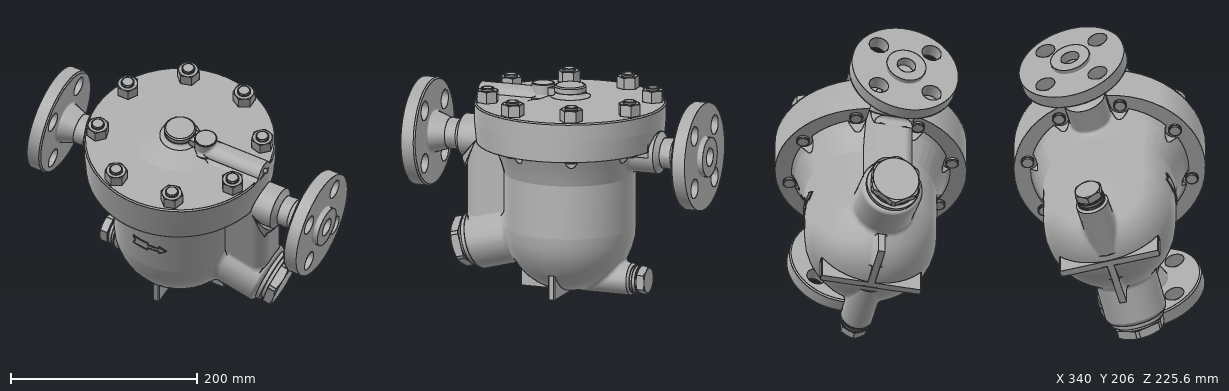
import cadquery as cq
import math


FACE_TO_FACE = 340.0
PIPE_MID_X = 8.7
BASE_Z = -160.0
OVERALL_HEIGHT = 225.6
TOP_Z = BASE_Z + OVERALL_HEIGHT

COVER_R = 206.0 / 2
COVER_TOP_Z = 47.3
COVER_BOTTOM_Z = 27.0
COVER_EDGE = 1.5
BODY_FLANGE_BOTTOM_Z = 4.4
BODY_FLANGE_BOTTOM_RX = 100.5

BODY_R = 71.0
NECK_R = 81.0
NECK_TOP_Z = -0.8
NECK_TOP_FLARE = 4.0
NECK_HOLLOW = 0.6
NECK_BOTTOM_Z = -30.0
DOME_CENTRE_Z = -88.5

STUD_COUNT = 8
STUD_CIRCLE_R = 88.75
STUD_R = 14.0 / 2
STUD_TOP_Z = 62.9
STUD_BOTTOM_Z = 1.0
STUD_CHAMFER = 1.0
NUT_ACROSS_FLATS = 21.0
NUT_TOP_Z = 60.1
NUT_TURN = -7.5
SPOTFACE_R = 10.7
SPOTFACE_BOTTOM_Z = -20.0

PIPE_FLANGE_R = 117.0 / 2
PIPE_FLANGE_THICKNESS = 16.0
PIPE_FLANGE_EDGE = 1.6
RAISED_FACE_R = 42.9 / 2
RAISED_FACE_LENGTH = 6.1
RAISED_FACE_FILLET = 1.3
HUB_R = 22.0
HUB_FILLET = 2.8
PIPE_R = 33.0 / 2
WELD_R = 34.0 / 2
WELD_START = 39.8
WELD_WIDTH = 7.6
NOZZLE_R = 46.0 / 2
NOZZLE_SHOULDER_START = 52.1
NOZZLE_SHOULDER_LENGTH = 5.0
BORE_R = 20.0 / 2
BORE_DEPTH = 11.0
NOZZLE_ROOT_FILLET = 4.0
PIPE_BOLT_COUNT = 4
PIPE_BOLT_CIRCLE_R = 41.0
PIPE_BOLT_R = 21.0 / 2

PAD_END_X = -99.0
PAD_BOTTOM_Z = -1.5

BLOCK_END_X = 114.2
BLOCK_CORNER_R = 13.8
BLOCK_BOTTOM_Z = -97.0
WEB_HEIGHT = 7.0
WEB_END_X = 120.4

PORT_TILT = 15.0
PORT_END_X = 126.6
PORT_END_Z = -118.7
PORT_R = 33.5
PORT_LENGTH = 72.0
PORT_SHOULDER_R = 58.0 / 2
PORT_SHOULDER_START = 24.5
PORT_SHOULDER_END = 18.3
PORT_TRIM_MARGIN = 7.0
PORT_ROOT_FILLET = 7.0
GASKET_END = 14.0
GASKET_R = 49.5 / 2
PLUG_HEAD_LENGTH = 10.0
PLUG_ACROSS_FLATS = 50.0
PLUG_CORNER_DIAMETER = 55.6

DRAIN_Z = -142.5
DRAIN_ROOT_FILLET = 5.0
DRAIN_INNER_X = -11.0
DRAIN_R = 17.5
DRAIN_END_X = -71.2
DRAIN_TAPER_LENGTH = 2.5
DRAIN_PLUG_R = 30.0 / 2
DRAIN_GROOVE_R = 14.0
DRAIN_COLLAR_FILL = 0.7
DRAIN_HEAD_START_X = -81.5
DRAIN_HEAD_END_X = -90.6
DRAIN_ACROSS_FLATS = 27.0
DRAIN_HEAD_TURN = 30.0

FOOT_REACH = 55.0
FOOT_THICKNESS = 7.5
FOOT_CHAMFER = 1.0
FOOT_FILLET = 4.0
FOOT_FILLET_START_X = 25.0

CONE_BASE_R = 46.5
CONE_TOP_R = 21.8
CONE_TOP_Z = 53.5
CAP_R = 34.0 / 2
CAP_STEM_R = 16.2
CAP_CURVE_RISE = 1.2
CAP_CURVE_OFFSET = 1.5
CAP_BOTTOM_Z = 58.5
CAP_CHAMFER = 1.5
VENT_X = 31.3
VENT_R = 24.0 / 2
VENT_CHAMFER = 0.8
VENT_FLARE_R = 15.6
VENT_FLARE_Z = 50.8
VENT_FLARE_HEIGHT = 4.0
VENT_CHANNEL_FILLET = 3.5
LINK_WIDTH = 16.0
LINK_TOP_Z = 62.0
CHANNEL_R = 13.0
CHANNEL_FOOT_HALF_WIDTH = 20.2
CHANNEL_FOOT_CURVE = 0.3
CHANNEL_END_X = 102.5
CHANNEL_TANGENT_Z = 50.3
PIN_R = 2.8
PIN_ROUNDING = PIN_R * 0.9
PIN_END_X = 106.3
PIN_Z = 51.0

ARROW_Z = -55.8
ARROW_HALF_LENGTH = 20.2
ARROW_HALF_HEIGHT = 5.2
ARROW_SHAFT_HALF_HEIGHT = 2.3
ARROW_NOTCH_DEPTH = 3.2
ARROW_TAIL_END_X = -1.0
ARROW_HEAD_START_X = 12.0
ARROW_RAISE = 1.2

HEX_CORNER_RATIO = 2 / math.sqrt(3)
ARC_SAG = 1 - math.sqrt(0.5)


def upright_cylinder(radius, bottom, top, x=0.0, y=0.0):
    return cq.Workplane("XY", origin=(x, y, bottom)).circle(radius).extrude(top - bottom)


def hex_prism(plane, across_flats, length, turn, corner_diameter=None):
    """Hexagonal head with chamfered outer corners, optionally turned down to a corner diameter."""
    polygon_diameter = across_flats * HEX_CORNER_RATIO
    corners = corner_diameter or polygon_diameter
    flat_offset = 30.0
    prism = (
        cq.Workplane(plane).transformed(rotate=(0, 0, turn + flat_offset))
        .polygon(6, polygon_diameter).extrude(length)
    )
    corner_drop = (corners - across_flats) / 2
    envelope = (
        cq.Workplane(plane).circle(corners / 2).extrude(length)
        .faces(cq.selectors.DirectionMinMaxSelector(plane.zDir, True))
        .chamfer(corner_drop / 2, corner_drop)
    )
    return prism.intersect(envelope)


def port_plane(distance_back):
    """Plane across the port axis, the given distance back from the plug end."""
    cosine = math.cos(math.radians(PORT_TILT))
    sine = math.sin(math.radians(PORT_TILT))
    origin = (PORT_END_X - distance_back * cosine, 0, PORT_END_Z + distance_back * sine)
    return cq.Plane(origin=origin, xDir=(0, 1, 0), normal=(cosine, 0, -sine))


TOLERANCE = 0.05
END_CLEARANCE = 1.0
EDGE_SAMPLES = (0.2, 0.5, 0.8)


def on_drain(point):
    """On both the drain cylinder and the dome."""
    radius = math.hypot(point.y, point.z - DRAIN_Z)
    dome_distance = (point - cq.Vector(0, 0, DOME_CENTRE_Z)).Length
    return abs(radius - DRAIN_R) < TOLERANCE and abs(dome_distance - BODY_R) < TOLERANCE


def on_side_foot(point):
    """On a side of the foot, above its underside and clear of its two ends."""
    on_side = abs(abs(point.y) - FOOT_THICKNESS / 2) < TOLERANCE
    between_ends = FOOT_FILLET_START_X + END_CLEARANCE < point.x < FOOT_REACH - END_CLEARANCE
    return on_side and between_ends and point.z > BASE_Z + END_CLEARANCE


def on_port(point):
    """On the port cylinder, clear of its outer end."""
    local = port_plane(0).toLocalCoords(point)
    on_cylinder = abs(math.hypot(local.x, local.y) - PORT_R) < TOLERANCE
    return on_cylinder and local.z < -GASKET_END - END_CLEARANCE


def on_vent(point):
    """On the vent boss where the channel runs into it."""
    on_cylinder = abs(math.hypot(point.x - VENT_X, point.y) - VENT_R) < TOLERANCE
    return on_cylinder and point.x > VENT_X and CHANNEL_TANGENT_Z < point.z < TOP_Z - 2 * END_CLEARANCE


def joint_edges(solid, on_surface):
    return [
        edge for edge in solid.edges().vals()
        if all(on_surface(edge.positionAt(sample)) for sample in EDGE_SAMPLES)
    ]


def make_body():
    """Neck, cylinder and hemispherical bottom, revolved about Z."""
    neck_mid_z = (NECK_TOP_Z + NECK_BOTTOM_Z) / 2
    neck_mid_r = (NECK_R + BODY_R) / 2 - NECK_HOLLOW
    dome_mid = BODY_R * math.sqrt(0.5)
    return (
        cq.Workplane("XZ")
        .moveTo(0, BODY_FLANGE_BOTTOM_Z)
        .lineTo(NECK_R + NECK_TOP_FLARE, BODY_FLANGE_BOTTOM_Z)
        .lineTo(NECK_R, NECK_TOP_Z)
        .threePointArc((neck_mid_r, neck_mid_z), (BODY_R, NECK_BOTTOM_Z))
        .lineTo(BODY_R, DOME_CENTRE_Z)
        .threePointArc((dome_mid, DOME_CENTRE_Z - dome_mid), (0, DOME_CENTRE_Z - BODY_R))
        .close()
        .revolve(360, (0, 0, 0), (0, 1, 0))
    )


def make_body_flange():
    """Round at the joint, drawn in along X towards its underside."""
    ellipse_margin = 0.01
    return (
        cq.Workplane("XY", origin=(0, 0, BODY_FLANGE_BOTTOM_Z))
        .ellipse(BODY_FLANGE_BOTTOM_RX, COVER_R - ellipse_margin)
        .workplane(offset=COVER_BOTTOM_Z - BODY_FLANGE_BOTTOM_Z)
        .circle(COVER_R)
        .loft(ruled=True)
    )


def make_cover():
    """Cover plate with its shallow cone and centre cap."""
    plate = upright_cylinder(COVER_R, COVER_BOTTOM_Z, COVER_TOP_Z).faces(">Z").chamfer(COVER_EDGE)
    stem_curve_z = CONE_TOP_Z + CAP_CURVE_RISE
    stem_curve_r = CAP_STEM_R + CAP_CURVE_OFFSET
    cap = (
        cq.Workplane("XZ")
        .moveTo(0, COVER_BOTTOM_Z)
        .lineTo(CONE_BASE_R, COVER_BOTTOM_Z)
        .lineTo(CONE_BASE_R, COVER_TOP_Z)
        .lineTo(CONE_TOP_R, CONE_TOP_Z)
        .threePointArc((stem_curve_r, stem_curve_z), (CAP_STEM_R, CAP_BOTTOM_Z))
        .lineTo(CAP_R, CAP_BOTTOM_Z)
        .lineTo(CAP_R, TOP_Z - CAP_CHAMFER)
        .lineTo(CAP_R - CAP_CHAMFER, TOP_Z)
        .lineTo(0, TOP_Z)
        .close()
        .revolve(360, (0, 0, 0), (0, 1, 0))
    )
    return plate.union(cap)


def make_vent():
    """Vent boss, its link to the centre cap and the rounded channel leading to the rim."""
    boss = upright_cylinder(VENT_R, COVER_BOTTOM_Z, TOP_Z, x=VENT_X)
    flare_width = VENT_FLARE_R - VENT_R
    flare = (
        cq.Workplane("XZ", origin=(VENT_X, 0, 0))
        .moveTo(0, COVER_BOTTOM_Z)
        .lineTo(VENT_FLARE_R, COVER_BOTTOM_Z)
        .lineTo(VENT_FLARE_R, VENT_FLARE_Z)
        .threePointArc(
            (VENT_R + flare_width * ARC_SAG, VENT_FLARE_Z + VENT_FLARE_HEIGHT * ARC_SAG),
            (VENT_R, VENT_FLARE_Z + VENT_FLARE_HEIGHT),
        )
        .lineTo(0, VENT_FLARE_Z + VENT_FLARE_HEIGHT)
        .close()
        .revolve(360, (0, 0, 0), (0, 1, 0))
    )
    link = cq.Workplane("XY", origin=(VENT_X / 2, 0, COVER_BOTTOM_Z)).box(
        VENT_X, LINK_WIDTH, LINK_TOP_Z - COVER_BOTTOM_Z, centered=(True, True, False)
    )
    tangent_rise = CHANNEL_TANGENT_Z - COVER_TOP_Z
    tangent_y = math.sqrt(CHANNEL_R ** 2 - tangent_rise ** 2)
    fillet_y = tangent_y + (CHANNEL_FOOT_HALF_WIDTH - tangent_y) * CHANNEL_FOOT_CURVE
    fillet_z = COVER_TOP_Z + tangent_rise * CHANNEL_FOOT_CURVE
    channel = (
        cq.Workplane("YZ", origin=(VENT_X, 0, 0))
        .moveTo(-CHANNEL_FOOT_HALF_WIDTH, COVER_BOTTOM_Z)
        .lineTo(-CHANNEL_FOOT_HALF_WIDTH, COVER_TOP_Z)
        .threePointArc((-fillet_y, fillet_z), (-tangent_y, CHANNEL_TANGENT_Z))
        .threePointArc((0, COVER_TOP_Z + CHANNEL_R), (tangent_y, CHANNEL_TANGENT_Z))
        .threePointArc((fillet_y, fillet_z), (CHANNEL_FOOT_HALF_WIDTH, COVER_TOP_Z))
        .lineTo(CHANNEL_FOOT_HALF_WIDTH, COVER_BOTTOM_Z)
        .close()
        .extrude(CHANNEL_END_X - VENT_X)
        .intersect(upright_cylinder(COVER_R, COVER_BOTTOM_Z, TOP_Z))
    )
    pin = (
        cq.Workplane("YZ", origin=(VENT_X, 0, PIN_Z)).circle(PIN_R).extrude(PIN_END_X - VENT_X)
        .faces(">X").fillet(PIN_ROUNDING)
    )
    joined = boss.union(channel)
    joined = joined.newObject(joint_edges(joined, on_vent)).fillet(VENT_CHANNEL_FILLET)
    joined = joined.faces(">Z").chamfer(VENT_CHAMFER)
    return joined.union(flare).union(link).union(pin)


def stud_position(angle):
    x = STUD_CIRCLE_R * math.cos(math.radians(angle))
    y = STUD_CIRCLE_R * math.sin(math.radians(angle))
    return x, y


def make_fastener(angle):
    """Stud and nut at the given angle on the stud circle."""
    x, y = stud_position(angle)
    stud = upright_cylinder(STUD_R, STUD_BOTTOM_Z, STUD_TOP_Z, x, y).faces("<Z or >Z").chamfer(STUD_CHAMFER)
    seat = cq.Plane(origin=(x, y, COVER_TOP_Z), xDir=(1, 0, 0), normal=(0, 0, 1))
    nut = hex_prism(seat, NUT_ACROSS_FLATS, NUT_TOP_Z - COVER_TOP_Z, angle + NUT_TURN)
    return stud.union(nut)


def make_spotface(angle):
    """Clearance cut into the neck under the flange, around one stud."""
    x, y = stud_position(angle)
    return upright_cylinder(SPOTFACE_R, SPOTFACE_BOTTOM_Z, BODY_FLANGE_BOTTOM_Z, x, y)


def make_inlet_nozzle():
    """Flanged nozzle pointing to -X, revolved about the pipe axis, and the bore to cut from it."""
    face_x = PIPE_MID_X - FACE_TO_FACE / 2
    flange_x = face_x + RAISED_FACE_LENGTH
    hub_x = flange_x + PIPE_FLANGE_THICKNESS
    cone_x = hub_x + HUB_FILLET
    weld_x = face_x + WELD_START
    shoulder_x = face_x + NOZZLE_SHOULDER_START
    solid = (
        cq.Workplane("XY")
        .moveTo(face_x, 0)
        .lineTo(face_x, RAISED_FACE_R)
        .lineTo(flange_x - RAISED_FACE_FILLET, RAISED_FACE_R)
        .threePointArc(
            (flange_x - RAISED_FACE_FILLET * ARC_SAG, RAISED_FACE_R + RAISED_FACE_FILLET * ARC_SAG),
            (flange_x, RAISED_FACE_R + RAISED_FACE_FILLET),
        )
        .lineTo(flange_x, PIPE_FLANGE_R)
        .lineTo(hub_x - PIPE_FLANGE_EDGE, PIPE_FLANGE_R)
        .lineTo(hub_x, PIPE_FLANGE_R - PIPE_FLANGE_EDGE)
        .lineTo(hub_x, HUB_R + HUB_FILLET)
        .threePointArc((hub_x + HUB_FILLET * ARC_SAG, HUB_R + HUB_FILLET * ARC_SAG), (cone_x, HUB_R))
        .lineTo(weld_x, PIPE_R)
        .threePointArc((weld_x + WELD_WIDTH / 2, WELD_R), (weld_x + WELD_WIDTH, PIPE_R))
        .lineTo(shoulder_x, PIPE_R)
        .lineTo(shoulder_x + NOZZLE_SHOULDER_LENGTH, NOZZLE_R)
        .lineTo(0, NOZZLE_R)
        .lineTo(0, 0)
        .close()
        .revolve(360, (0, 0, 0), (1, 0, 0))
    )
    first_hole_angle = 180.0 / PIPE_BOLT_COUNT
    holes = (
        cq.Workplane("YZ", origin=(face_x, 0, 0))
        .polarArray(PIPE_BOLT_CIRCLE_R, first_hole_angle, 360, PIPE_BOLT_COUNT)
        .circle(PIPE_BOLT_R)
        .extrude(RAISED_FACE_LENGTH + PIPE_FLANGE_THICKNESS)
    )
    bore = cq.Workplane("YZ", origin=(face_x, 0, 0)).circle(BORE_R).extrude(BORE_DEPTH)
    return solid.cut(holes), bore


def rounded_slab(end_x, bottom):
    """Slab as wide as the nozzle from the body axis to end_x, with rounded outer corners."""
    return (
        cq.Workplane("XY", origin=(0, 0, bottom))
        .moveTo(0, -NOZZLE_R)
        .lineTo(end_x, -NOZZLE_R)
        .lineTo(end_x, NOZZLE_R)
        .lineTo(0, NOZZLE_R)
        .close()
        .extrude(-bottom)
        .edges("|Z and >X").fillet(BLOCK_CORNER_R)
    )


def make_block():
    """Flat-sided passage below the outlet nozzle with rounded outer corners."""
    return rounded_slab(BLOCK_END_X, BLOCK_BOTTOM_Z)


def make_block_web():
    """Concave web in the corner between the end of the block and the outlet nozzle."""
    web_bottom = -NOZZLE_R - WEB_HEIGHT
    web_width = WEB_END_X - BLOCK_END_X
    profile = (
        cq.Workplane("XZ", origin=(0, NOZZLE_R, 0))
        .moveTo(BLOCK_END_X - BLOCK_CORNER_R, 0)
        .lineTo(WEB_END_X, -NOZZLE_R)
        .threePointArc(
            (BLOCK_END_X + web_width * ARC_SAG, -NOZZLE_R - WEB_HEIGHT * ARC_SAG),
            (BLOCK_END_X, web_bottom),
        )
        .close()
        .extrude(2 * NOZZLE_R)
    )
    return profile.intersect(rounded_slab(WEB_END_X, web_bottom))


def make_inlet_pad():
    """Flat-sided pad filling the gap between the inlet nozzle and the body flange."""
    return cq.Workplane("XY", origin=(PAD_END_X, 0, PAD_BOTTOM_Z)).box(
        -PAD_END_X, 2 * NOZZLE_R, COVER_BOTTOM_Z - PAD_BOTTOM_Z, (False, True, False)
    )


def make_port_boss():
    return cq.Workplane(port_plane(PORT_LENGTH)).circle(PORT_R).extrude(PORT_LENGTH - GASKET_END)


def make_port_trim():
    """Ring of material outside the rounded shoulder at the end of the port boss."""
    outer_r = PORT_R + PORT_TRIM_MARGIN
    mid_r = PORT_SHOULDER_R + (PORT_R - PORT_SHOULDER_R) * math.sqrt(0.5)
    mid_back = PORT_SHOULDER_END + (PORT_SHOULDER_START - PORT_SHOULDER_END) * ARC_SAG
    plane = port_plane(0)
    axial_plane = cq.Plane(origin=plane.origin, xDir=(0, 1, 0), normal=plane.zDir.cross(plane.xDir))
    axial_sign = axial_plane.yDir.dot(plane.zDir)
    return (
        cq.Workplane(axial_plane)
        .moveTo(0, 0)
        .lineTo(0, -axial_sign * PORT_SHOULDER_END)
        .lineTo(PORT_SHOULDER_R, -axial_sign * PORT_SHOULDER_END)
        .threePointArc((mid_r, -axial_sign * mid_back), (PORT_R, -axial_sign * PORT_SHOULDER_START))
        .lineTo(outer_r, -axial_sign * PORT_SHOULDER_END)
        .lineTo(outer_r, 0)
        .close()
        .revolve(360, (0, 0, 0), (0, 1, 0))
    )


def make_port_plug():
    """Collar, gasket and hexagonal head closing the port."""
    collar = cq.Workplane(port_plane(PORT_SHOULDER_END)).circle(PORT_SHOULDER_R).extrude(
        PORT_SHOULDER_END - GASKET_END
    )
    gasket = cq.Workplane(port_plane(GASKET_END)).circle(GASKET_R).extrude(GASKET_END - PLUG_HEAD_LENGTH)
    head_plane = port_plane(PLUG_HEAD_LENGTH)
    head = hex_prism(head_plane, PLUG_ACROSS_FLATS, PLUG_HEAD_LENGTH, 0, PLUG_CORNER_DIAMETER)
    return collar.union(gasket).union(head)


def make_drain_boss():
    return cq.Workplane("YZ", origin=(DRAIN_END_X, 0, DRAIN_Z)).circle(DRAIN_R).extrude(
        DRAIN_INNER_X - DRAIN_END_X
    )


def make_drain_plug():
    """Tapered boss end, grooved stem with a collar, and hexagonal head."""
    collar_x = (DRAIN_END_X + DRAIN_HEAD_START_X) / 2
    taper = (
        cq.Workplane("YZ", origin=(DRAIN_END_X, 0, DRAIN_Z)).circle(DRAIN_R)
        .workplane(offset=-DRAIN_TAPER_LENGTH).circle(DRAIN_PLUG_R).loft()
    )
    stem = cq.Workplane("YZ", origin=(DRAIN_END_X, 0, DRAIN_Z)).circle(DRAIN_GROOVE_R).extrude(
        DRAIN_HEAD_START_X - DRAIN_END_X
    )
    collar = cq.Workplane("YZ", origin=(collar_x, 0, DRAIN_Z)).circle(DRAIN_PLUG_R).extrude(
        (DRAIN_HEAD_START_X - collar_x) * DRAIN_COLLAR_FILL
    )
    seat = cq.Plane(origin=(DRAIN_HEAD_START_X, 0, DRAIN_Z), xDir=(0, 0, 1), normal=(-1, 0, 0))
    head_length = DRAIN_HEAD_START_X - DRAIN_HEAD_END_X
    head = hex_prism(seat, DRAIN_ACROSS_FLATS, head_length, DRAIN_HEAD_TURN)
    return taper.union(stem).union(collar).union(head)


def make_cross_foot():
    """Upright plate under the dome, reaching to -Y and +Y."""
    return (
        cq.Workplane("XY", origin=(0, 0, BASE_Z))
        .box(FOOT_THICKNESS, 2 * FOOT_REACH, DOME_CENTRE_Z - BASE_Z, (True, True, False))
        .faces("<Y or >Y").edges("|Z").chamfer(FOOT_CHAMFER)
    )


def make_side_foot(start_x):
    """Upright plate under the dome, from start_x out to +X."""
    return (
        cq.Workplane("XY", origin=(start_x, 0, BASE_Z))
        .box(FOOT_REACH - start_x, FOOT_THICKNESS, DOME_CENTRE_Z - BASE_Z, (False, True, False))
    )


def make_arrow():
    """Raised flow arrow pointing to +X."""
    upper = [
        (-ARROW_HALF_LENGTH, ARROW_HALF_HEIGHT),
        (ARROW_TAIL_END_X, ARROW_HALF_HEIGHT),
        (ARROW_TAIL_END_X, ARROW_SHAFT_HALF_HEIGHT),
        (ARROW_HEAD_START_X, ARROW_SHAFT_HALF_HEIGHT),
        (ARROW_HEAD_START_X, ARROW_HALF_HEIGHT),
    ]
    lower = [(x, -z) for x, z in reversed(upper)]
    tip = [(ARROW_HALF_LENGTH, 0)]
    notch = [(ARROW_NOTCH_DEPTH - ARROW_HALF_LENGTH, 0)]
    raised_r = BODY_R + ARROW_RAISE
    return (
        cq.Workplane("XZ", origin=(0, 0, ARROW_Z))
        .polyline(upper + tip + lower + notch).close()
        .extrude(raised_r)
        .intersect(upright_cylinder(raised_r, DOME_CENTRE_Z, NECK_BOTTOM_Z))
    )


stud_angles = [(index + 0.5) * 360.0 / STUD_COUNT for index in range(STUD_COUNT)]

body = make_body()

nozzle_stub = cq.Workplane("YZ").circle(NOZZLE_R).extrude(PAD_END_X)
body = body.union(nozzle_stub)
body = body.edges("%BSPLINE").fillet(NOZZLE_ROOT_FILLET)

body = body.union(make_drain_boss())
body = body.newObject(joint_edges(body, on_drain)).fillet(DRAIN_ROOT_FILLET)

body = body.union(make_block()).union(make_port_boss())
body = body.newObject(joint_edges(body, on_port)).fillet(PORT_ROOT_FILLET)
body = body.cut(make_port_trim())

footed_shell = make_body().union(make_side_foot(FOOT_FILLET_START_X))
footed_shell = footed_shell.newObject(joint_edges(footed_shell, on_side_foot)).fillet(FOOT_FILLET)
body = body.union(footed_shell)

for stud_angle in stud_angles:
    body = body.cut(make_spotface(stud_angle))

inlet_nozzle, inlet_bore = make_inlet_nozzle()
outlet_nozzle = inlet_nozzle.mirror("YZ", (PIPE_MID_X, 0, 0))
outlet_bore = inlet_bore.mirror("YZ", (PIPE_MID_X, 0, 0))

result = (
    body.union(make_block_web())
    .union(make_inlet_pad())
    .union(make_side_foot(0))
    .union(make_cross_foot())
    .union(make_body_flange())
    .union(make_cover())
    .union(make_vent())
    .union(inlet_nozzle)
    .union(outlet_nozzle)
    .union(make_port_plug())
    .union(make_drain_plug())
    .union(make_arrow())
)
for stud_angle in stud_angles:
    result = result.union(make_fastener(stud_angle))
result = result.cut(inlet_bore).cut(outlet_bore)